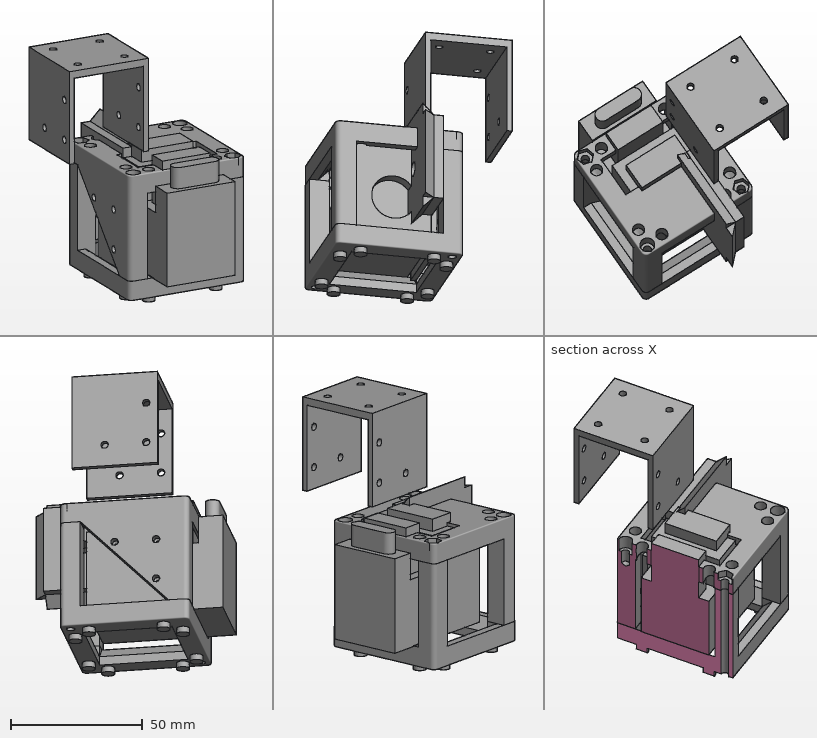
import cadquery as cq
import math

cube_width = 49.8
cube_height = 50.05
post_width = 7.9
ring_height = 7.9
sill_width = 3.4
base_corner_radius = 1.9
lid_corner_radius = 2.1
edge_radius = 0.5
half_width = cube_width / 2
opening_half = half_width - post_width
sill_inner = half_width - sill_width
floor_height = ring_height - (sill_inner - opening_half)
part_line_height = cube_height - ring_height

foot_near = 14.4
foot_far = 20.7
foot_diameter = 4.95
foot_height = 2.3
socket_diameter = 4.6
socket_depth = 4.8

screw_offset = 21.3
screw_diameter = 3.1
head_diameter = 5.5
head_depth = 5.7
nut_depth = 3.0
screw_depth = 11.4
nut_corner_diameter = 6.5
nut_angle = 15
drill_tip_angle = 118

slot_start = 0
side_plate_thickness = sill_width

mount_hole_diameter = 2.8
mount_pitch = 16.0
mount_left = -3.8
side_hole_low = 17.0
side_hole_depth = 2.9
bracket_hole_low = 8.6

bracket_width = 32.9
bracket_depth = 33.9
bracket_height = 37.1
bracket_top = 95.15 - foot_height
bracket_front = half_width - 70.9
bracket_wall = 2.1
bracket_roof = 2.95
roof_pitch = 20

plate_size = 33.8
plate_right = 0.9
plate_front = -14.9
plate_thickness = 3.8
tongue_depth = 4.3
tongue_setback = 0.3
plate_mid_height = 35.7
plate_hole_diameter = 5.5

device_left = -15.2
device_half_depth = 14.6
device_bottom = 7.6
device_top = 48.7
flange_start = 13.0
flange_top = 34.5
column_start = 26.6
column_end = 36.1
column_top = 45.1
knob_top = 53.6
front_knob_left = -2.1
front_knob_width = 10.8
front_knob_depth = 22.1
rear_knob_left = 15.6
rear_knob_width = 8.3
rear_knob_depth = 20.4
oval_x = 30.8
oval_width = 5.5
oval_length = 20
port_diameter = 17.2
port_depth = 4.8
port_height = 24.7

panel_left = -16.0
panel_width = 32.35
panel_thickness = 2.1
panel_bottom = 4.5
panel_top = 41.1


def block(x_range, y_range, z_range):
    """Box between the given limits."""
    size = [high - low for low, high in (x_range, y_range, z_range)]
    return cq.Workplane("XY").box(*size, centered=False).translate((x_range[0], y_range[0], z_range[0]))


def drill(diameter, depth):
    """Drill shape with its mouth at the origin and a conical tip below the full-diameter depth."""
    radius = diameter / 2
    tip = radius / math.tan(math.radians(drill_tip_angle / 2))
    profile = [(0, 0), (radius, 0), (radius, -depth), (0, -depth - tip)]
    return cq.Workplane("XZ").polyline(profile).close().revolve(360, (0, 0, 0), (0, 1, 0))


def cylinder(diameter, low, high):
    return cq.Workplane("XY").workplane(offset=low).circle(diameter / 2).extrude(high - low)


def half_frame(corner_radius):
    """Ring with a closed floor and posts in the (-X, -Y) and (+X, +Y) corners, floor at Z = 0."""
    frame = cq.Workplane("XY").rect(cube_width, cube_width).extrude(part_line_height)
    frame = frame.edges("|Z").fillet(corner_radius)
    frame = frame.faces("<Z").edges().fillet(edge_radius)
    above_ring = block((-half_width, half_width), (-half_width, half_width), (ring_height, part_line_height))
    for side in (-1, 1):
        post_middle = side * (half_width - post_width / 2)
        post = cq.Workplane("XY").center(post_middle, post_middle).rect(post_width, post_width)
        above_ring = above_ring.cut(post.extrude(part_line_height))
    frame = frame.cut(above_ring)
    opening = (-opening_half, opening_half)
    frame = frame.cut(block(opening, opening, (floor_height, ring_height)))
    slope = [(opening_half, floor_height), (sill_inner, ring_height), (opening_half, ring_height)]
    wedge = cq.Workplane("XZ").polyline(slope).close().extrude(opening_half, both=True)
    for turn in range(4):
        frame = frame.cut(wedge.rotate((0, 0, 0), (0, 0, 1), 90 * turn))
    return frame


def make_base():
    base = half_frame(base_corner_radius)
    opening = (-opening_half, opening_half)
    base = base.cut(block(opening, opening, (0, floor_height)))
    foot = cylinder(foot_diameter, -foot_height, edge_radius)
    for x_side in (-1, 1):
        for y_side in (-1, 1):
            base = base.union(foot.translate((x_side * foot_near, y_side * foot_far, 0)))
            base = base.union(foot.translate((x_side * foot_far, y_side * foot_near, 0)))
    screw = cylinder(screw_diameter, 0, cube_height)
    for side in (-1, 1):
        base = base.cut(screw.translate((side * screw_offset, side * screw_offset, 0)))
    return base


def make_side_plate():
    """Triangular plate closing the upper right half of the -Y window."""
    corners = [
        (-opening_half, part_line_height),
        (opening_half, part_line_height),
        (opening_half, ring_height),
    ]
    plate = cq.Workplane("XZ", origin=(0, -half_width, 0)).polyline(corners).close()
    plate = plate.extrude(-side_plate_thickness)
    hole = drill(mount_hole_diameter, side_hole_depth).rotate((0, 0, 0), (1, 0, 0), 90)
    for x, z in mount_points(side_hole_low):
        plate = plate.cut(hole.translate((x, -half_width, z)))
    return plate


def mount_points(low):
    """Three hole places: the right column and the left end of the upper row."""
    right = mount_left + mount_pitch
    return [(right, low), (right, low + mount_pitch), (mount_left, low + mount_pitch)]


def make_lid():
    lid = half_frame(lid_corner_radius).rotate((0, 0, 0), (1, 0, 0), 180).translate((0, 0, cube_height))
    lid = lid.union(make_side_plate())
    above_part_line = (part_line_height, cube_height)
    lid = lid.cut(block((slot_start, opening_half), (-opening_half, opening_half), above_part_line))
    blind_socket = drill(socket_diameter, socket_depth)
    through_socket = cylinder(socket_diameter, part_line_height - cube_height, 0)
    for x_side in (-1, 1):
        for y_side in (-1, 1):
            lid = lid.cut(blind_socket.translate((x_side * foot_near, y_side * foot_far, cube_height)))
            lid = lid.cut(through_socket.translate((x_side * foot_far, y_side * foot_near, cube_height)))
    screw = drill(screw_diameter, screw_depth).union(cylinder(head_diameter, -head_depth, 0))
    nut = cq.Workplane("XY").polygon(6, nut_corner_diameter).extrude(-nut_depth)
    nut = nut.rotate((0, 0, 0), (0, 0, 1), nut_angle)
    nut = nut.union(cylinder(screw_diameter, -ring_height, 0))
    for side in (-1, 1):
        corner = side * screw_offset
        lid = lid.cut(screw.translate((corner, -corner, cube_height)))
        lid = lid.cut(nut.translate((corner, corner, cube_height)))
    return lid


def make_bracket():
    back = bracket_front + bracket_depth
    bottom = bracket_top - bracket_height
    half = bracket_width / 2
    bracket = block((-half, half), (bracket_front, back), (bottom, bracket_top))
    channel = (bracket_front + bracket_wall, back - bracket_wall)
    bracket = bracket.cut(block((-half, half), channel, (bottom, bracket_top - bracket_roof)))
    low = bottom + bracket_hole_low
    right = mount_left + mount_pitch
    points = [(mount_left, low), (right, low), (right, low + mount_pitch)]
    holes = cq.Workplane("XZ", origin=(0, back, 0)).pushPoints(points).circle(mount_hole_diameter / 2)
    bracket = bracket.cut(holes.extrude(bracket_depth))
    roof = cq.Workplane("XY", origin=(0, (bracket_front + back) / 2, bracket_top))
    roof_holes = roof.rect(roof_pitch, roof_pitch, forConstruction=True).vertices()
    return bracket.cut(roof_holes.circle(mount_hole_diameter / 2).extrude(-bracket_roof))


def make_slide_plate():
    left = plate_right - plate_size
    low = plate_mid_height - plate_size / 2
    high = plate_mid_height + plate_size / 2
    joint = plate_front + plate_thickness
    back = joint + tongue_depth
    end = plate_right - tongue_setback
    plate = block((left, plate_right), (plate_front, joint), (low, high))
    plate = plate.union(block((left, end), (joint, back), (low, high)))
    for edge, outward in ((low, -1), (high, 1)):
        bevel = [(joint, edge), (back, edge), (back, edge + outward * tongue_depth)]
        rail = cq.Workplane("YZ", origin=(left, 0, 0)).polyline(bevel).close()
        plate = plate.union(rail.extrude(end - left))
    side_bevel = [(left, joint), (left, back), (left - tongue_depth, back)]
    rail = cq.Workplane("XY", origin=(0, 0, low)).polyline(side_bevel).close()
    plate = plate.union(rail.extrude(plate_size))
    hole_x = (left - tongue_depth + plate_right) / 2
    hole = cq.Workplane("XZ", origin=(hole_x, back, plate_mid_height)).circle(plate_hole_diameter / 2)
    return plate.cut(hole.extrude(back - plate_front))


def make_device():
    outline = [
        (device_left, device_bottom),
        (column_end, device_bottom),
        (column_end, column_top),
        (column_start, column_top),
        (column_start, flange_top),
        (flange_start, flange_top),
        (flange_start, device_top),
        (device_left, device_top),
    ]
    device = cq.Workplane("XZ").polyline(outline).close().extrude(device_half_depth, both=True)
    knobs = (
        (front_knob_left, front_knob_width, front_knob_depth, device_top),
        (rear_knob_left, rear_knob_width, rear_knob_depth, flange_top),
    )
    for left, width, depth, bottom in knobs:
        device = device.union(block((left, left + width), (-depth / 2, depth / 2), (bottom, knob_top)))
    oval = cq.Workplane("XY", origin=(oval_x, 0, column_top)).slot2D(oval_length, oval_width, 90)
    device = device.union(oval.extrude(knob_top - column_top))
    port = cq.Workplane("YZ", origin=(device_left, 0, port_height)).circle(port_diameter / 2)
    return device.cut(port.extrude(port_depth))


def make_panel():
    return block(
        (panel_left, panel_left + panel_width),
        (-device_half_depth - panel_thickness, -device_half_depth),
        (panel_bottom, panel_top),
    )


slide_plate = make_slide_plate()
device = make_device().cut(slide_plate)
panel = make_panel().cut(slide_plate)
base = make_base().cut(device)
lid = make_lid().cut(slide_plate).cut(device)
bracket = make_bracket()

result = cq.Compound.makeCompound(
    [base.val(), lid.val(), bracket.val(), slide_plate.val(), device.val(), panel.val()]
)